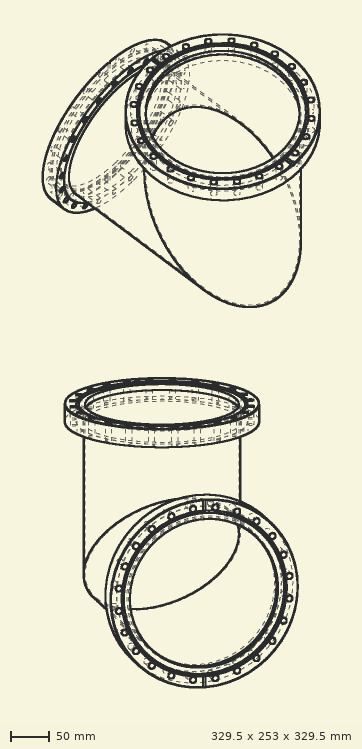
import cadquery as cq

OVERALL_LENGTH = 329.5
FLANGE_DIAMETER = 253.0
FACE_DISTANCE = OVERALL_LENGTH - FLANGE_DIAMETER / 2

FLANGE_THICKNESS = 24.7
FLANGE_BORE = 223.0
FLANGE_CHAMFER = 0.5

BOLT_COUNT = 24
BOLT_CIRCLE_DIAMETER = 232.0
BOLT_HOLE_DIAMETER = 8.2

LEAK_GROOVE_WIDTH = 4.0
LEAK_GROOVE_DEPTH = 1.3
LEAK_GROOVE_RADIUS = ((LEAK_GROOVE_WIDTH / 2) ** 2 + LEAK_GROOVE_DEPTH**2) / (2 * LEAK_GROOVE_DEPTH)

RING_OUTER_DIAMETER = 222.0
RING_FACE_DIAMETER = 216.5
RING_RECESS = 1.3
RING_BEVEL_DEPTH = 1.0

PIPE_OUTER_DIAMETER = 204.0
PIPE_BORE = 200.0
PIPE_END_DEPTH = 9.2

FLANGE_BACK = FACE_DISTANCE - FLANGE_THICKNESS
PIPE_END = FACE_DISTANCE - PIPE_END_DEPTH


def make_flange():
    """Outer bolt flange on the +Z axis, with its face at FACE_DISTANCE."""
    back = cq.Workplane(cq.Plane(origin=(0, 0, FLANGE_BACK), xDir=(0, 1, 0), normal=(0, 0, 1)))
    flange = back.circle(FLANGE_DIAMETER / 2).extrude(FLANGE_THICKNESS).faces(">Z").chamfer(FLANGE_CHAMFER)
    bore = back.circle(FLANGE_BORE / 2).extrude(FLANGE_THICKNESS)

    half_pitch = 360 / BOLT_COUNT / 2
    bolt_holes = (
        back.polarArray(BOLT_CIRCLE_DIAMETER / 2, half_pitch, 360, BOLT_COUNT)
        .circle(BOLT_HOLE_DIAMETER / 2)
        .extrude(FLANGE_THICKNESS)
    )

    groove_centre = FACE_DISTANCE - LEAK_GROOVE_DEPTH + LEAK_GROOVE_RADIUS
    groove_plane = cq.Plane(origin=(0, 0, groove_centre), xDir=(0, 0, 1), normal=(1, 0, 0))
    leak_grooves = (
        cq.Workplane(groove_plane)
        .circle(LEAK_GROOVE_RADIUS)
        .extrude(FLANGE_DIAMETER, both=True)
    )
    return flange.cut(bore).cut(bolt_holes).cut(leak_grooves)


def make_weld_ring():
    """Inner ring with a bevelled front rim and a socket at the back for the pipe end."""
    ring_face = FACE_DISTANCE - RING_RECESS
    bevel_bottom = ring_face - RING_BEVEL_DEPTH
    profile = [
        (PIPE_BORE / 2, ring_face),
        (RING_FACE_DIAMETER / 2, ring_face),
        (RING_OUTER_DIAMETER / 2, bevel_bottom),
        (RING_OUTER_DIAMETER / 2, FLANGE_BACK),
        (PIPE_OUTER_DIAMETER / 2, FLANGE_BACK),
        (PIPE_OUTER_DIAMETER / 2, PIPE_END),
        (PIPE_BORE / 2, PIPE_END),
    ]
    return cq.Workplane("XZ").polyline(profile).close().revolve(360, (0, 0, 0), (0, 1, 0))


def make_pipe():
    """Pipe along +Z, cut at 45 degrees by the mitre plane x + z = 0."""
    reach = PIPE_OUTER_DIAMETER
    tube = (
        cq.Workplane("XY", origin=(0, 0, -reach))
        .circle(PIPE_OUTER_DIAMETER / 2)
        .circle(PIPE_BORE / 2)
        .extrude(reach + PIPE_END)
    )
    below_mitre = (
        cq.Workplane("XZ")
        .polyline([(-reach, reach), (reach, -reach), (reach, -2 * reach), (-reach, -2 * reach)])
        .close()
        .extrude(reach, both=True)
    )
    return tube.cut(below_mitre)


def turn_to_side(body):
    """Swap a body from the +Z branch to the -X branch by a half turn about the line between the two axes."""
    return body.rotate((0, 0, 0), (-1, 0, 1), 180)


bodies = []
for upright_body in (make_flange(), make_weld_ring(), make_pipe()):
    solid = upright_body.solids()
    bodies.append(solid.val())
    bodies.append(turn_to_side(solid).val())

result = cq.Compound.makeCompound(bodies)